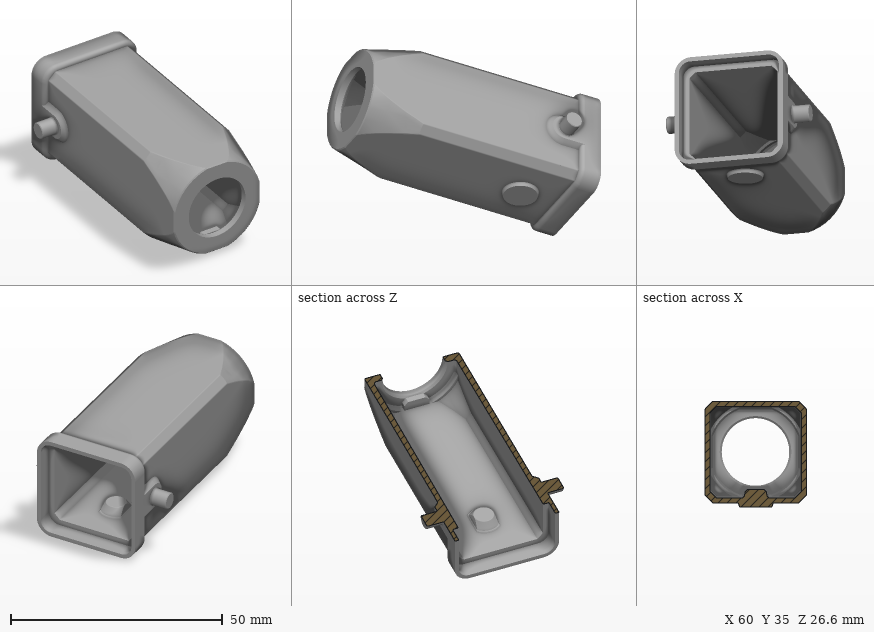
import cadquery as cq

LENGTH = 60.0
BEVEL_ANGLE = 45.0
BODY_WIDTH = 24.1
BODY_CORNER_CHAMFER = 1.9
BODY_EDGE_RADIUS = 0.5

NOSE_START = 46.8
NOSE_START_RADIUS = 15.7
NOSE_END_RADIUS = 12.35
OUTLET_EDGE_CHAMFER = 0.25

FLANGE_WIDTH = 26.6
FLANGE_LENGTH = 5.45
FLANGE_CORNER_RADIUS = 3.95
FLANGE_STEP = (FLANGE_WIDTH - BODY_WIDTH) / 2
FLANGE_REAR_RADIUS = 1.2
SEAL_RECESS_WIDTH = 24.5
SEAL_RECESS_DEPTH = 3.95
SEAL_RECESS_CORNER_RADIUS = 2.7

PIN_SPAN = 35.0
PIN_X = 9.25
PIN_RADIUS = 2.05
PIN_EDGE = 0.2
EAR_CENTER_X = 9.8
EAR_RADIUS = 4.25
EAR_START = FLANGE_LENGTH / 2

CAVITY_MOUTH_WIDTH = 21.6
CAVITY_END_WIDTH = 20.95
CAVITY_CORNER_CHAMFER = 1.45
NOSE_WALL = 1.45
CAVITY_LEDGE_X = 56.4
SOCKET_RADIUS = 11.15
SOCKET_FLOOR_CHAMFER = 0.4
OUTLET_WALL = 2.1
OUTLET_WALL_X = LENGTH - OUTLET_WALL
OUTLET_RADIUS = 8.0
OUTLET_INNER_CHAMFER = 0.5

BUTTON_X = 14.6
BUTTON_RADIUS = 4.45
BUTTON_HEIGHT = 0.9
BUTTON_TAPER = 20.0

POST_RADIUS = 4.15
POST_WIDTH = 5.65
POST_TOP_Z = -8.7
POST_CONE_TAPER = 39.0
POST_SIDE_TAPER = 10.0
POST_TOP_FILLET = 0.25
POST_ROOT = 0.35
POST_ROOT_WIDTH = POST_WIDTH + 2 * POST_ROOT

KEY_LENGTH = OUTLET_WALL_X - CAVITY_LEDGE_X
KEY_WIDTH = POST_ROOT_WIDTH
KEY_TOP_Z = -8.05
KEY_CHAMFER = 0.95


def square_profile(x, width):
    """Centred square in the YZ plane at the given X."""
    return cq.Workplane("YZ", origin=(x, 0, 0)).rect(width, width)


def nose_radius(x):
    """Radius of the nose cone at the given X."""
    slope = (NOSE_END_RADIUS - NOSE_START_RADIUS) / (LENGTH - NOSE_START)
    return NOSE_START_RADIUS + slope * (x - NOSE_START)


def cone_about_x(start, end, radius_inset):
    """Solid bounded by the nose cone, moved inward by radius_inset."""
    return (
        cq.Workplane("XY")
        .moveTo(start, 0)
        .lineTo(start, nose_radius(start) - radius_inset)
        .lineTo(end, nose_radius(end) - radius_inset)
        .lineTo(end, 0)
        .close()
        .revolve(360, (0, 0, 0), (1, 0, 0))
    )


def make_body():
    tube = square_profile(0, BODY_WIDTH).extrude(LENGTH)
    tube = tube.edges("|X").chamfer(BODY_CORNER_CHAMFER)
    body = tube.intersect(cone_about_x(0, LENGTH, 0))
    body = body.edges("not(<X or >X)").fillet(BODY_EDGE_RADIUS)
    return body.faces(">X").chamfer(OUTLET_EDGE_CHAMFER)


def make_flange():
    flange = square_profile(0, FLANGE_WIDTH).extrude(FLANGE_LENGTH)
    flange = flange.edges("|X").fillet(FLANGE_CORNER_RADIUS)
    return flange.faces(">X").edges().fillet(FLANGE_REAR_RADIUS)


def make_ear_and_pin():
    """Ear with 45 degree sides and its pin, on the -Y side."""
    ear = (
        cq.Workplane("XZ", origin=(0, -BODY_WIDTH / 2, 0))
        .moveTo(EAR_START, -EAR_RADIUS)
        .lineTo(EAR_CENTER_X, -EAR_RADIUS)
        .threePointArc((EAR_CENTER_X + EAR_RADIUS, 0), (EAR_CENTER_X, EAR_RADIUS))
        .lineTo(EAR_START, EAR_RADIUS)
        .close()
        .extrude(FLANGE_STEP, taper=BEVEL_ANGLE)
    )
    pin_length = (PIN_SPAN - FLANGE_WIDTH) / 2
    pin_base = cq.Workplane("XZ", origin=(PIN_X, -FLANGE_WIDTH / 2, 0))
    pin = pin_base.circle(PIN_RADIUS).extrude(pin_length)
    pin = pin.faces("<Y").chamfer(PIN_EDGE)
    root = pin_base.circle(PIN_RADIUS + PIN_EDGE).extrude(PIN_EDGE, taper=BEVEL_ANGLE)
    return ear.union(pin).union(root)


def make_outlet():
    return cq.Workplane("YZ").circle(OUTLET_RADIUS).extrude(LENGTH)


def make_cavity():
    recess = square_profile(0, SEAL_RECESS_WIDTH).extrude(SEAL_RECESS_DEPTH)
    recess = recess.edges("|X").fillet(SEAL_RECESS_CORNER_RADIUS)

    pocket = (
        square_profile(0, CAVITY_MOUTH_WIDTH)
        .workplane(offset=OUTLET_WALL_X)
        .rect(CAVITY_END_WIDTH, CAVITY_END_WIDTH)
        .loft(ruled=True)
    )
    pocket = pocket.edges("not(<X or >X)").chamfer(CAVITY_CORNER_CHAMFER)
    socket = cq.Workplane("YZ").circle(SOCKET_RADIUS).extrude(OUTLET_WALL_X)
    pocket = pocket.intersect(cone_about_x(0, CAVITY_LEDGE_X, NOSE_WALL).union(socket))
    pocket = pocket.faces(">X").chamfer(SOCKET_FLOOR_CHAMFER)

    countersink = (
        cq.Workplane("YZ", origin=(OUTLET_WALL_X, 0, 0))
        .circle(OUTLET_RADIUS + OUTLET_INNER_CHAMFER)
        .extrude(OUTLET_INNER_CHAMFER, taper=BEVEL_ANGLE)
    )
    return recess.union(pocket).union(make_outlet()).union(countersink)


def make_button():
    button = cq.Workplane("XY", origin=(BUTTON_X, 0, -BODY_WIDTH / 2)).circle(BUTTON_RADIUS)
    return button.extrude(-BUTTON_HEIGHT, taper=BUTTON_TAPER)


def flat_sided_frustum(radius, width, height, cone_taper, side_taper):
    """Cone on the cavity floor whose two Y sides are cut to sloping flats."""
    floor = cq.Workplane("XY", origin=(BUTTON_X, 0, -CAVITY_MOUTH_WIDTH / 2))
    cone = floor.circle(radius).extrude(height, taper=cone_taper)
    wedge = floor.rect(2 * radius + width, width).extrude(height, taper=side_taper)
    return cone.intersect(wedge)


def make_post():
    height = POST_TOP_Z + CAVITY_MOUTH_WIDTH / 2
    post = flat_sided_frustum(POST_RADIUS, POST_WIDTH, height, POST_CONE_TAPER, POST_SIDE_TAPER)
    post = post.faces(">Z").edges().fillet(POST_TOP_FILLET)
    root = flat_sided_frustum(POST_RADIUS + POST_ROOT, POST_ROOT_WIDTH, POST_ROOT, BEVEL_ANGLE, BEVEL_ANGLE)
    return post.union(root)


def make_key():
    """Key sunk into the floor and ending at the outlet wall, kept clear of the outlet hole."""
    bottom_z = -(CAVITY_MOUTH_WIDTH + BODY_WIDTH) / 4
    key = (
        cq.Workplane("XY", origin=(OUTLET_WALL_X - KEY_LENGTH, 0, bottom_z))
        .box(KEY_LENGTH, KEY_WIDTH, KEY_TOP_Z - bottom_z, centered=(False, True, False))
        .edges("|X and >Z")
        .chamfer(KEY_CHAMFER)
    )
    return key.cut(make_outlet())


ear_and_pin = make_ear_and_pin()
shell = make_body().union(make_flange())
shell = shell.union(ear_and_pin).union(ear_and_pin.mirror("XZ"))
result = shell.cut(make_cavity()).union(make_button()).union(make_post()).union(make_key())